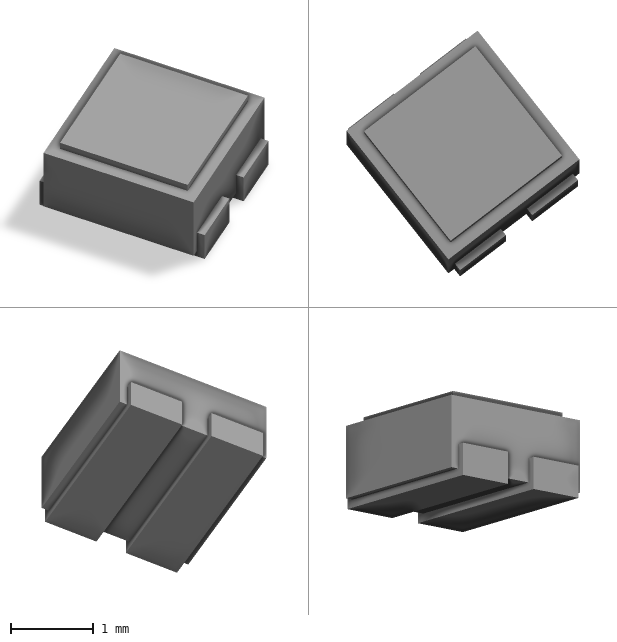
import cadquery as cq

overall_length = 2.2
overall_height = 1.1
body_side = 2.0
lid_side = 1.7
strap_width = 0.7
strap_gap = 0.4
strap_height = 0.4

strap_thickness = (overall_length - body_side) / 2
lid_height = strap_thickness
body_bottom = strap_thickness
body_height = overall_height - strap_thickness - lid_height
strap_offset = (strap_gap + strap_width) / 2


def block(length, width, height, bottom):
    """Block centred in X and Y, rising from the given Z level."""
    return (
        cq.Workplane("XY")
        .workplane(offset=bottom)
        .rect(length, width)
        .extrude(height)
    )


def terminal_strap(y_center):
    """U-shaped strap running under the body and up both of its X sides."""
    outer = block(overall_length, strap_width, strap_height, 0)
    channel = block(body_side, strap_width, strap_height - strap_thickness, strap_thickness)
    return outer.cut(channel).translate((0, y_center, 0))


body = block(body_side, body_side, body_height, body_bottom)
lid = block(lid_side, lid_side, lid_height, body_bottom + body_height)
result = body.union(lid)

for side in (-1, 1):
    result = result.union(terminal_strap(side * strap_offset))